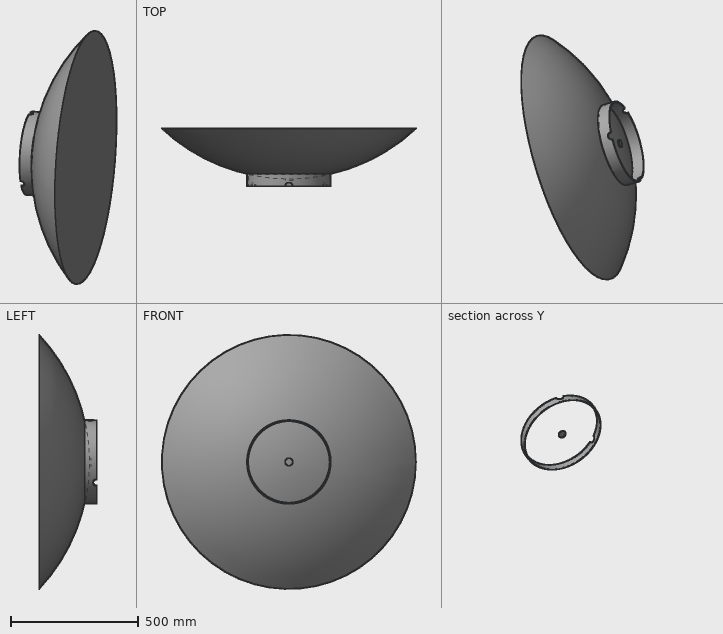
import cadquery as cq
import math

rim_radius = 500.0
dish_depth = 198.0
overall_depth = 228.0
ring_outer_radius = 165.0
ring_wall = 5.0
notch_radius = 15.0
notch_count = 3
pin_radius = 15.0
pin_projection = 5.0

sphere_radius = (rim_radius**2 + dish_depth**2) / (2 * dish_depth)
sphere_centre_y = sphere_radius - dish_depth


def dome_y(radius):
    """Y of the domed face at a given distance from the axis."""
    return sphere_centre_y - math.sqrt(sphere_radius**2 - radius**2)


def rod_along_y(radius, end_y):
    """Round rod on the dish axis, from the rim plane out to end_y."""
    return cq.Workplane("XZ").circle(radius).extrude(-end_y)


def make_dish():
    """Solid spherical cap with a flat rim face, bulging toward -Y."""
    middle_radius = rim_radius / 2
    return (
        cq.Workplane("XY")
        .moveTo(0, 0)
        .lineTo(rim_radius, 0)
        .threePointArc((middle_radius, dome_y(middle_radius)), (0, -dish_depth))
        .close()
        .revolve(360, (0, 0, 0), (0, 1, 0))
    )


def make_notch_cutter(angle):
    """Radial rod on the free edge of the ring, turned about the dish axis."""
    return (
        cq.Workplane("XY", origin=(0, -overall_depth, 0))
        .circle(notch_radius)
        .extrude(2 * ring_outer_radius)
        .rotate((0, 0, 0), (0, 1, 0), angle)
    )


def make_ring(dish):
    """Thin ring seated on the dome, with half-round notches in its free edge."""
    bore = rod_along_y(ring_outer_radius - ring_wall, -overall_depth)
    ring = rod_along_y(ring_outer_radius, -overall_depth).cut(bore).cut(dish)
    for index in range(notch_count):
        ring = ring.cut(make_notch_cutter(index * 360 / notch_count))
    return ring


def make_pin(dish):
    """Short centre pin whose foot follows the dome."""
    return rod_along_y(pin_radius, -(dish_depth + pin_projection)).cut(dish)


dish = make_dish()
ring = make_ring(dish)
pin = make_pin(dish)

result = cq.Compound.makeCompound([dish.val(), *ring.vals(), *pin.vals()])